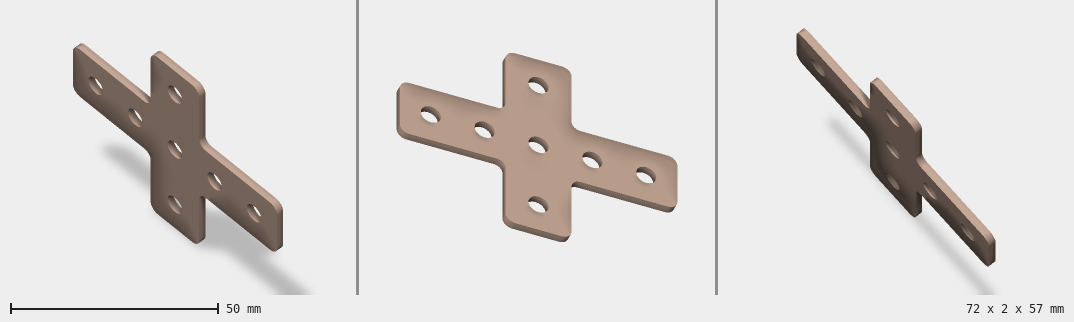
import cadquery as cq

length = 72.0
height = 57.0
thickness = 2.0
arm_width = 17.1
corner_radius = 2.5
inner_radius = 2.3

hole_diameter = 5.2
hole_pitch_x = 14.0
hole_offset_z = 20.0


def arm(size_x, size_z):
    """Bar lying in the plate, centred on the origin, with rounded corners."""
    bar = cq.Workplane("XY").box(size_x, thickness, size_z)
    return bar.edges("|Y").fillet(corner_radius)


horizontal_arm = arm(length, arm_width)
vertical_arm = arm(arm_width, height)
plate = horizontal_arm.union(vertical_arm)
inner_corners = cq.selectors.BoxSelector(
    (-arm_width, -thickness, -arm_width),
    (arm_width, thickness, arm_width),
)
plate = plate.edges("|Y").edges(inner_corners).fillet(inner_radius)

hole_centers = [(step * hole_pitch_x, 0) for step in range(-2, 3)]
hole_centers += [(0, side * hole_offset_z) for side in (-1, 1)]

result = (
    plate.faces("<Y")
    .workplane(origin=(0, 0, 0))
    .pushPoints(hole_centers)
    .hole(hole_diameter)
)